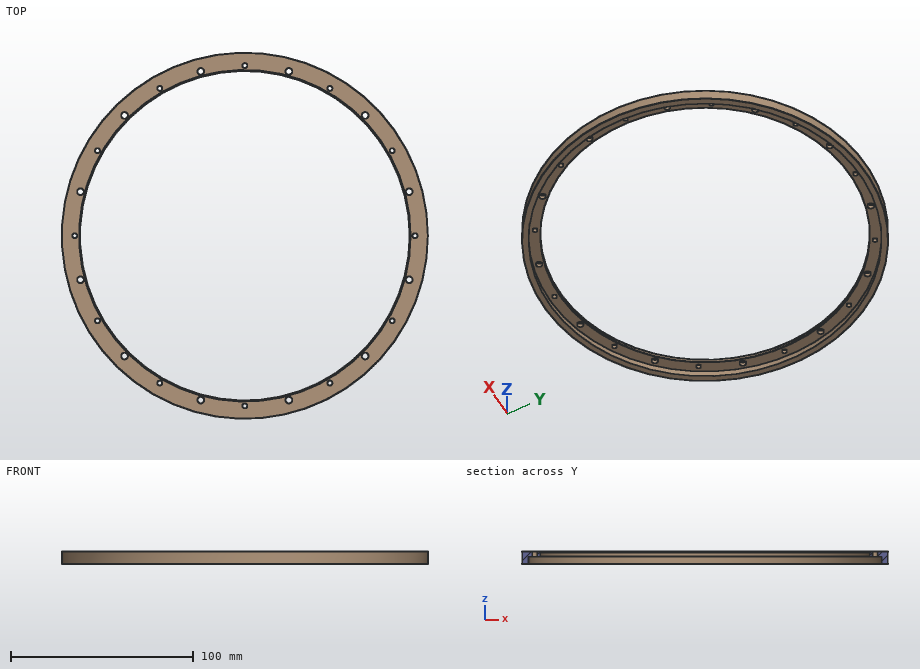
import cadquery as cq

OUTER_DIAMETER = 200.3
INNER_DIAMETER = 180.02
HEIGHT = 7.0

RECESS_DIAMETER = 193.0
LIP_THICKNESS = 3.0
RECESS_DEPTH = HEIGHT - LIP_THICKNESS

BORE_CHAMFER = 0.7

EDGE_BREAK = 0.2

BOLT_CIRCLE_DIAMETER = 186.0
HOLES_PER_SET = 12
SMALL_HOLE_DIAMETER = 2.6
LARGE_HOLE_DIAMETER = 3.55
SMALL_HOLE_START_ANGLE = 0.0
LARGE_HOLE_START_ANGLE = 360.0 / HOLES_PER_SET / 2


def make_ring():
    """Revolve the L-shaped wall section about the Z axis."""
    outer_radius = OUTER_DIAMETER / 2
    inner_radius = INNER_DIAMETER / 2
    recess_radius = RECESS_DIAMETER / 2
    section = (
        cq.Workplane("XZ")
        .moveTo(recess_radius, 0)
        .lineTo(outer_radius - EDGE_BREAK, 0)
        .lineTo(outer_radius, EDGE_BREAK)
        .lineTo(outer_radius, HEIGHT - EDGE_BREAK)
        .lineTo(outer_radius - EDGE_BREAK, HEIGHT)
        .lineTo(inner_radius + BORE_CHAMFER, HEIGHT)
        .lineTo(inner_radius, HEIGHT - BORE_CHAMFER)
        .lineTo(inner_radius, RECESS_DEPTH + EDGE_BREAK)
        .lineTo(inner_radius + EDGE_BREAK, RECESS_DEPTH)
        .lineTo(recess_radius, RECESS_DEPTH)
        .close()
    )
    return section.revolve(360, (0, 0, 0), (0, 1, 0))


def make_hole_set(diameter, start_angle):
    """Return cylinders that cut one evenly spaced set of holes through the lip."""
    return (
        cq.Workplane("XY")
        .polarArray(BOLT_CIRCLE_DIAMETER / 2, start_angle, 360, HOLES_PER_SET, rotate=False)
        .circle(diameter / 2)
        .extrude(HEIGHT)
    )


small_holes = make_hole_set(SMALL_HOLE_DIAMETER, SMALL_HOLE_START_ANGLE)
large_holes = make_hole_set(LARGE_HOLE_DIAMETER, LARGE_HOLE_START_ANGLE)
result = make_ring().cut(small_holes).cut(large_holes)